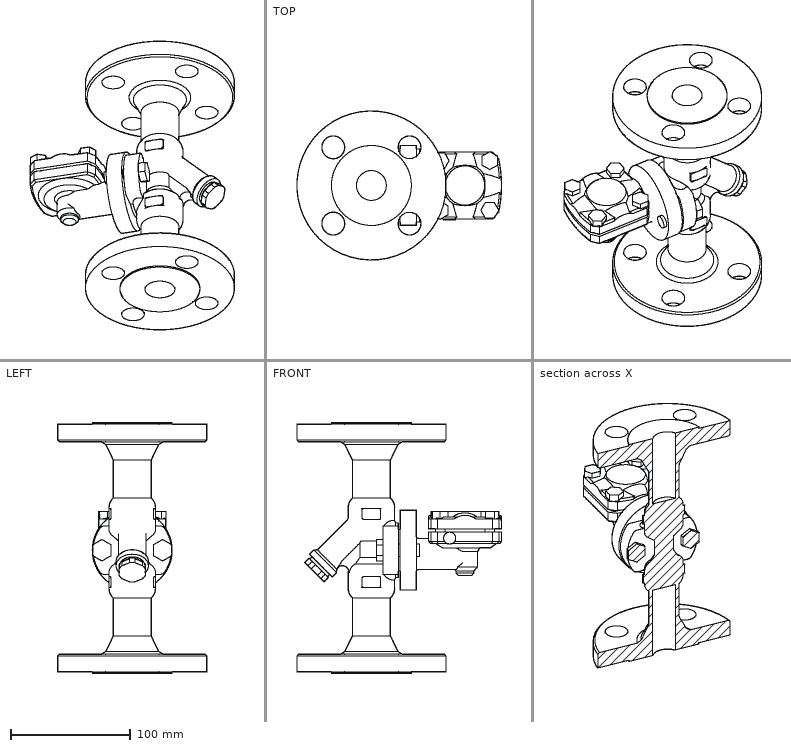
import cadquery as cq
import math

half_length = 105.0
flange_dia = 125.0
face_dia = 67.0
face_height = 1.3
flange_thickness = 15.0
flange_chamfer = 1.5
flange_hole_dia = 19.0
flange_hole_offset = 32.0
bore_dia = 25.0
bore_end_z = 42.0
pipe_dia = 32.0
hub_start_z = 73.5
hub_end_z = 86.5
hub_end_radius = 22.3
hub_foot_radius = 25.8

body_dia = 39.0
shoulder_top_z = 41.8
shoulder_foot_z = 33.2
neck_dia = 23.0
shoulder_arc = (19.0, 37.5)
upper_barrel_foot_z = 15.5
upper_crook_arc = (18.7, 12.5)
upper_crook_end = (16.5, 10.3)
neck_top_z = 5.9
neck_foot_z = -8.0
lower_crook_end = (14.7, -13.5)
lower_crook_arc = (18.0, -16.4)
lower_barrel_top_z = -20.8
pad_width = 15.5
pad_height = 9.5
pad_corner = 1.7

branch_angle = 45.0
branch_origin_z = 27.5
branch_dia = 23.0
collar_dia = 27.0
plug_neck_dia = 21.0
collar_cone_start = 52.5
collar_start = 54.5
collar_end = 59.8
plug_start = 62.4
plug_end = 67.6
plug_flats = 21.8
branch_fillet = 2.0
web_thickness = 12.5
web_arc_x = -24.4
web_arc_z = -20.4
web_arc_radius = 5.5

joint_z = -1.9
plate_start_x = 9.9
plate_end_x = 22.7
plate_radius = 32.8
plate_half_height = 20.2
plate_corner = 4.2
socket_back_radius = 25.8
socket_crown_x = 14.7
socket_crown_radius = 27.3
socket_front_x = 20.4
socket_front_radius = 22.9
gasket_dia = 35.0
disc_start_x = 24.2
disc_end_x = 37.5
disc_dia = 67.0
joint_bolt_offset = 25.5
joint_bolt_dia = 10.5
joint_bolt_end_x = 40.3
joint_head_start_x = 4.2
joint_head_flats = 15.5

trap_x = 78.3
trap_half_length = 30.7
corner_x = 23.0
corner_y = 28.1
end_x = 28.4
end_y = 22.0
base_bottom_z = 3.5
base_top_z = 13.5
cover_bottom_z = 16.0
cover_top_z = 26.0
cover_chamfer = 1.7
trap_top_z = 30.7
trap_gasket_dia = 45.8
trap_bolt_offset = 20.8
trap_bolt_dia = 8.0
trap_head_flats = 13.0
cap_top_dia = 33.0
cap_foot_dia = 36.5
rib_radius = 15.8
rib_inner_reach = 14.7
rib_inner_z = 29.8
rib_outer_z = 27.3
base_boss_dia = 10.0
base_boss_x = 65.5
base_boss_z = 8.2
base_boss_height = 0.6
base_boss_root = 2.0

arm_width = 21.0
arm_top_z = 8.0
arm_bottom_z = -18.0
arm_corner = 7.1
arm_fillet = 2.3
outlet_dia = 21.0
outlet_root_flare = 2.0
outlet_root_z = -3.2
outlet_foot_z = -16.0
outlet_tip_radius = 7.5
outlet_tip_top_z = -19.3
outlet_tip_chamfer = 2.0
outlet_end_z = -23.0
bowl_top_radius = 26.2
bowl_bottom_radius = 21.5


def cylinder_z(x, y, start, end, diameter):
    return cq.Workplane("XY", origin=(x, y, start)).circle(diameter / 2).extrude(end - start)


def cylinder_x(y, z, start, end, diameter):
    return cq.Workplane("YZ", origin=(start, y, z)).circle(diameter / 2).extrude(end - start)


def across_corners(flats):
    return flats / math.cos(math.pi / 6)


def both_ends(shape):
    return shape.union(shape.mirror("XY"))


def line_end():
    """Upper pipe with its weld-neck flange."""
    back_z = half_length - face_height - flange_thickness
    front_z = half_length - face_height
    rim = flange_dia / 2
    profile = (
        cq.Workplane("XZ")
        .moveTo(0, shoulder_top_z)
        .lineTo(pipe_dia / 2, shoulder_top_z)
        .lineTo(pipe_dia / 2, hub_start_z)
        .lineTo(hub_end_radius, hub_end_z)
        .lineTo(hub_foot_radius, back_z)
        .lineTo(rim - flange_chamfer, back_z)
        .lineTo(rim, back_z + flange_chamfer)
        .lineTo(rim, front_z)
        .lineTo(face_dia / 2, front_z)
        .lineTo(face_dia / 2, half_length)
        .lineTo(0, half_length)
        .close()
    )
    bolt_holes = (
        cq.Workplane("XY", origin=(0, 0, back_z))
        .rect(2 * flange_hole_offset, 2 * flange_hole_offset, forConstruction=True)
        .vertices()
        .circle(flange_hole_dia / 2)
        .extrude(flange_thickness)
    )
    return profile.revolve().cut(bolt_holes)


def body():
    """Turned body with a narrow neck between two barrels."""
    barrel = body_dia / 2
    neck = neck_dia / 2
    pipe = pipe_dia / 2
    return (
        cq.Workplane("XZ")
        .moveTo(0, -shoulder_top_z)
        .lineTo(pipe, -shoulder_top_z)
        .threePointArc((shoulder_arc[0], -shoulder_arc[1]), (barrel, -shoulder_foot_z))
        .lineTo(barrel, lower_barrel_top_z)
        .threePointArc(lower_crook_arc, lower_crook_end)
        .lineTo(neck, neck_foot_z)
        .lineTo(neck, neck_top_z)
        .lineTo(*upper_crook_end)
        .threePointArc(upper_crook_arc, (barrel, upper_barrel_foot_z))
        .lineTo(barrel, shoulder_foot_z)
        .threePointArc(shoulder_arc, (pipe, shoulder_top_z))
        .lineTo(0, shoulder_top_z)
        .close()
        .revolve()
    )


def wrench_pads():
    """Flat pads on the front and back of the upper barrel."""
    return (
        cq.Workplane("XY")
        .box(pad_width, body_dia, pad_height)
        .edges("|Y")
        .fillet(pad_corner)
        .translate((0, 0, shoulder_foot_z - pad_height / 2))
    )


def branch():
    """Branch, collar and hexagonal plug, built along +Z and then tilted down towards -X."""
    tube = branch_dia / 2
    collar = collar_dia / 2
    neck = plug_neck_dia / 2
    turned = (
        cq.Workplane("XZ")
        .lineTo(tube, 0)
        .lineTo(tube, collar_cone_start)
        .lineTo(collar, collar_start)
        .lineTo(collar, collar_end)
        .lineTo(neck, collar_end)
        .lineTo(neck, plug_start)
        .lineTo(0, plug_start)
        .close()
        .revolve()
    )
    hexagon = (
        cq.Workplane("XY", origin=(0, 0, plug_start))
        .polygon(6, across_corners(plug_flats))
        .extrude(plug_end - plug_start)
    )
    plug = hexagon.intersect(cylinder_z(0, 0, plug_start, plug_end, branch_dia))
    tilt = -(180 - branch_angle)
    upright = turned.union(plug)
    return upright.rotate((0, 0, 0), (0, 1, 0), tilt).translate((0, 0, branch_origin_z))


def branch_web():
    """Web in the crook between branch and lower barrel, with a round lower edge."""
    reach = web_arc_radius / math.sqrt(2)
    return (
        cq.Workplane("XZ")
        .moveTo(0, branch_origin_z)
        .lineTo(web_arc_x - reach, web_arc_z + reach)
        .threePointArc((web_arc_x, web_arc_z + web_arc_radius), (web_arc_x + web_arc_radius, web_arc_z))
        .lineTo(0, web_arc_z)
        .close()
        .extrude(web_thickness / 2, both=True)
    )


def body_with_branch():
    """Body and branch, with a fillet along the curved seam between them."""
    joined = body().union(branch())
    return joined.edges("%BSPLINE").fillet(branch_fillet).union(branch_web())


def joint_plate():
    """Round plate with flat top and bottom, joined to its hub."""
    thickness = plate_end_x - plate_start_x
    middle_x = (plate_start_x + plate_end_x) / 2
    band = cq.Workplane("XY").box(thickness, 2 * plate_radius, 2 * plate_half_height)
    plate = cylinder_x(0, joint_z, plate_start_x, plate_end_x, 2 * plate_radius)
    plate = plate.intersect(band.translate((middle_x, 0, joint_z))).edges("|X").fillet(plate_corner)
    return plate.union(joint_socket())


def joint_socket():
    """Crowned hub of the plate, turned about the joint axis."""
    profile = (
        cq.Workplane("XY", origin=(0, 0, joint_z))
        .moveTo(plate_start_x, 0)
        .lineTo(plate_start_x, socket_back_radius)
        .threePointArc((socket_crown_x, socket_crown_radius), (socket_front_x, socket_front_radius))
        .lineTo(plate_end_x, socket_front_radius)
        .lineTo(plate_end_x, 0)
        .close()
    )
    return profile.revolve(360, (0, 0, 0), (1, 0, 0))


def joint_bolt(y):
    head = (
        cq.Workplane("YZ", origin=(joint_head_start_x, y, joint_z))
        .transformed(rotate=(0, 0, 90))
        .polygon(6, across_corners(joint_head_flats))
        .extrude(plate_start_x - joint_head_start_x)
    )
    return head.union(cylinder_x(y, joint_z, plate_start_x, joint_bolt_end_x, joint_bolt_dia))


def trap_slab(bottom, top):
    """Slab with two straight sides, bevelled corners and two bowed ends."""
    return (
        cq.Workplane("XY", origin=(trap_x, 0, bottom))
        .moveTo(-corner_x, corner_y)
        .lineTo(corner_x, corner_y)
        .lineTo(end_x, end_y)
        .threePointArc((trap_half_length, 0), (end_x, -end_y))
        .lineTo(corner_x, -corner_y)
        .lineTo(-corner_x, -corner_y)
        .lineTo(-end_x, -end_y)
        .threePointArc((-trap_half_length, 0), (-end_x, end_y))
        .close()
        .extrude(top - bottom)
    )


def cover_rib(angle):
    """Round rib that slopes from the cap down to the edge of the cover."""
    slope = math.atan2(rib_inner_z - rib_outer_z, corner_y - rib_inner_reach)
    length = 2 * corner_y
    rod = (
        cq.Workplane("YZ", origin=(0, 0, -rib_radius))
        .circle(rib_radius)
        .extrude(length)
        .rotate((0, 0, 0), (0, 1, 0), math.degrees(slope))
        .translate((rib_inner_reach, 0, rib_inner_z))
    )
    return rod.rotate((0, 0, 0), (0, 0, 1), angle).translate((trap_x, 0, 0))


def trap_cover():
    cover = trap_slab(cover_bottom_z, cover_top_z).faces(">Z").edges().chamfer(cover_chamfer)
    envelope = trap_slab(cover_bottom_z, trap_top_z)
    for angle in (0, 90, 180, 270):
        cover = cover.union(cover_rib(angle).intersect(envelope))
    cap = (
        cq.Workplane("XY", origin=(trap_x, 0, cover_top_z))
        .circle(cap_foot_dia / 2)
        .workplane(offset=trap_top_z - cover_top_z)
        .circle(cap_top_dia / 2)
        .loft()
    )
    return cover.union(cap)


def trap_bolt(side_x, side_y):
    """Cover bolt; heads on opposite corners are turned alike."""
    x = trap_x + side_x * trap_bolt_offset
    y = side_y * trap_bolt_offset
    turn = 90 if side_x == side_y else 0
    head = (
        cq.Workplane("XY", origin=(x, y, cover_top_z - cover_chamfer))
        .transformed(rotate=(0, 0, turn))
        .polygon(6, across_corners(trap_head_flats))
        .extrude(trap_top_z - cover_top_z + cover_chamfer)
    )
    return head.union(cylinder_z(x, y, base_top_z, cover_bottom_z, trap_bolt_dia))


def trap_base():
    """Lower slab, gasket, bowl and the stepped outlet below it."""
    slab = trap_slab(base_bottom_z, base_top_z).faces("<Z").edges().chamfer(cover_chamfer)
    gasket = cylinder_z(trap_x, 0, base_top_z, cover_bottom_z, trap_gasket_dia)
    outlet = outlet_dia / 2
    turned = (
        cq.Workplane("XZ")
        .moveTo(0, base_top_z)
        .lineTo(bowl_top_radius, base_top_z)
        .lineTo(bowl_top_radius, base_bottom_z)
        .lineTo(bowl_bottom_radius, 0)
        .lineTo(outlet + outlet_root_flare, 0)
        .lineTo(outlet, outlet_root_z)
        .lineTo(outlet, outlet_foot_z)
        .lineTo(outlet_tip_radius, outlet_tip_top_z)
        .lineTo(outlet_tip_radius, outlet_end_z + outlet_tip_chamfer)
        .lineTo(outlet_tip_radius - outlet_tip_chamfer, outlet_end_z)
        .lineTo(0, outlet_end_z)
        .close()
        .revolve()
        .translate((trap_x, 0, 0))
    )
    side_boss = (
        cq.Workplane("XZ", origin=(base_boss_x, -corner_y + base_boss_root, base_boss_z))
        .circle(base_boss_dia / 2)
        .extrude(base_boss_height + base_boss_root)
    )
    return slab.union(gasket).union(turned).union(side_boss)


def disc_and_arm():
    """Joint disc with the rounded arm that feeds the trap."""
    arm_middle_z = (arm_top_z + arm_bottom_z) / 2
    arm = (
        cq.Workplane("YZ", origin=(disc_start_x, 0, arm_middle_z))
        .rect(arm_width, arm_top_z - arm_bottom_z)
        .extrude(trap_x - disc_start_x)
        .edges("|X")
        .fillet(arm_corner)
    )
    joined = cylinder_x(0, joint_z, disc_start_x, disc_end_x, disc_dia).union(arm)
    beside_arm = (disc_end_x, arm_width, joint_z)
    front_face = joined.faces(cq.selectors.NearestToPointSelector(beside_arm)).val()
    arm_foot = front_face.innerWires()[0].Edges()
    return joined.newObject(arm_foot).fillet(arm_fillet)


result = body_with_branch().union(both_ends(line_end())).union(both_ends(wrench_pads()))

result = result.union(joint_plate())
result = result.union(cylinder_x(0, joint_z, plate_end_x, disc_start_x, gasket_dia))
result = result.union(disc_and_arm())
for y in (-joint_bolt_offset, joint_bolt_offset):
    result = result.union(joint_bolt(y))

result = result.union(trap_base()).union(trap_cover())
for side_x in (-1, 1):
    for side_y in (-1, 1):
        result = result.union(trap_bolt(side_x, side_y))

result = result.cut(both_ends(cylinder_z(0, 0, bore_end_z, half_length, bore_dia)))